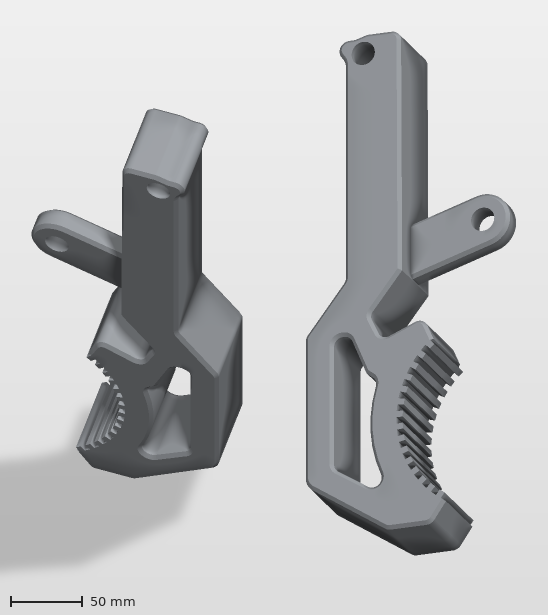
import cadquery as cq
import math


depth = 58.0
edge_chamfer = 2.5
corner_radius = 7.0
top_z = 291.2
bottom_z = -80.47
back_x = 144.08

column_left_top_x = 73.35
column_left_bottom_x = 72.55
column_bottom_z = 112.0
column_right_x = 114.3
slope_top_z = 109.5
slope_bottom_z = 70.8
back_bottom_z = -40.0
back_bottom_radius = 11.0

top_flat_end = (98.6, top_z)
nose_valley = (107.6, 288.5)
nose_corner = (126.4, 288.6)
nose_root = (column_right_x, 272.6)
nose_radius = 7.2
valley_radius = 9.5
nose_root_radius = 10.0

throat_corner = (96.6, 81.2)
throat_radius = 6.0
notch_corner = (87.5, 62.0)
grip_top_corner = (56.6, 74.8)
grip_edge_radius = 7.0

foot_left_x = 50.7
foot_right_x = 83.3
root_radius = 76.0
tooth_height = 4.7
tooth_width = 4.5
tooth_root_overlap = 0.3
tooth_pitch = 7.15
tooth_count = 15
first_tooth_angle = -54.0
grip_inner_corner = (13.3, -25.3)

window_right_x = 123.1
window_top_z = 68.0
window_lean = math.tan(math.radians(22.5))
window_bottom_z = -30.0
window_slope = 0.64
window_arc_radius = 96.2
window_shoulder = (98.9, 38.3)
shoulder_slope = 0.75
shoulder_radius = 6.5
window_inner_x = 65.0
window_radius = 6.5

lug_thickness = 17.0
lug_radius = 19.5
lug_pin = (19.4, 149.5)
lug_angle = -17.2
lug_length = 72.0
lug_pin_diameter = 17.23

top_pin = (100.55, 276.8)
top_pin_diameter = 17.21


def extrude_centred(outline, thickness):
    """Extrude an XZ outline symmetrically about the middle plane Y = 0."""
    return outline.extrude(thickness / 2, both=True)


def round_corner(solid, corner, radius):
    """Round the edge parallel to Y that is nearest to an XZ corner."""
    nearest = cq.selectors.NearestToPointSelector((corner[0], 0, corner[1]))
    return solid.edges("|Y").edges(nearest).fillet(radius)


def round_corners(solid, corners):
    for corner, radius in corners:
        solid = round_corner(solid, corner, radius)
    return solid


def make_blank():
    top_left = (column_left_top_x, top_z)
    slope_top = (column_right_x, slope_top_z)
    slope_bottom = (back_x, slope_bottom_z)
    back_bottom = (back_x, back_bottom_z)
    foot_right = (foot_right_x, bottom_z)
    foot_left = (foot_left_x, bottom_z)
    outline = [
        top_left, top_flat_end, nose_valley, nose_corner, nose_root,
        slope_top, slope_bottom, back_bottom, foot_right, foot_left,
        grip_inner_corner, grip_top_corner, notch_corner, throat_corner,
        (column_left_bottom_x, column_bottom_z),
    ]
    blank = extrude_centred(cq.Workplane("XZ").polyline(outline).close(), depth)
    return round_corners(blank, [
        (top_left, corner_radius),
        (top_flat_end, corner_radius),
        (nose_valley, valley_radius),
        (nose_corner, nose_radius),
        (nose_root, nose_root_radius),
        (slope_top, corner_radius),
        (slope_bottom, corner_radius),
        (back_bottom, back_bottom_radius),
        (foot_right, corner_radius),
        (foot_left, corner_radius),
        (grip_top_corner, grip_edge_radius),
        (notch_corner, throat_radius),
        (throat_corner, throat_radius),
    ])


def make_window():
    lean_run = window_lean * (window_top_z - window_shoulder[1])
    top_left = (window_shoulder[0] + lean_run, window_top_z)
    top_right = (window_right_x, window_top_z)
    bottom_right = (window_right_x, window_bottom_z)
    lower_left = (
        window_inner_x,
        window_bottom_z - window_slope * (window_right_x - window_inner_x),
    )
    upper_left = (
        window_inner_x,
        window_shoulder[1] - shoulder_slope * (window_shoulder[0] - window_inner_x),
    )
    outline = [window_shoulder, top_left, top_right, bottom_right, lower_left, upper_left]
    window = extrude_centred(cq.Workplane("XZ").polyline(outline).close(), depth)
    window = window.cut(extrude_centred(cq.Workplane("XZ").circle(window_arc_radius), depth))
    return round_corners(window, [
        (top_left, window_radius),
        (top_right, window_radius),
        (bottom_right, window_radius),
        (lower_left, window_radius),
        (upper_left, window_radius),
        (window_shoulder, shoulder_radius),
    ])


def cut_grip(body):
    return body.cut(extrude_centred(cq.Workplane("XZ").circle(root_radius), depth))


def add_teeth(body):
    tooth_tip_x = root_radius - tooth_height
    tooth_base_x = root_radius + tooth_root_overlap
    tooth = extrude_centred(
        cq.Workplane("XZ")
        .center((tooth_tip_x + tooth_base_x) / 2, 0)
        .rect(tooth_base_x - tooth_tip_x, tooth_width),
        depth,
    )
    for index in range(tooth_count):
        angle = first_tooth_angle + index * tooth_pitch
        body = body.union(tooth.rotate((0, 0, 0), (0, -1, 0), angle))
    return body


def make_lug():
    bar = extrude_centred(
        cq.Workplane("XZ").center(lug_length / 2, 0).rect(lug_length, 2 * lug_radius), lug_thickness
    )
    lug = bar.union(extrude_centred(cq.Workplane("XZ").circle(lug_radius), lug_thickness))
    lug = lug.faces("<Y or >Y").chamfer(edge_chamfer)
    lug = lug.cut(extrude_centred(cq.Workplane("XZ").circle(lug_pin_diameter / 2), lug_thickness))
    lug = lug.rotate((0, 0, 0), (0, -1, 0), lug_angle)
    return lug.translate((lug_pin[0], 0, lug_pin[1]))


def drill_top_pin(body):
    hole = cq.Workplane("XZ").center(*top_pin).circle(top_pin_diameter / 2)
    return body.cut(extrude_centred(hole, depth))


body = make_blank().cut(make_window())
body = body.faces("<Y or >Y").chamfer(edge_chamfer)
body = add_teeth(cut_grip(body))
body = drill_top_pin(body)
result = body.union(make_lug())